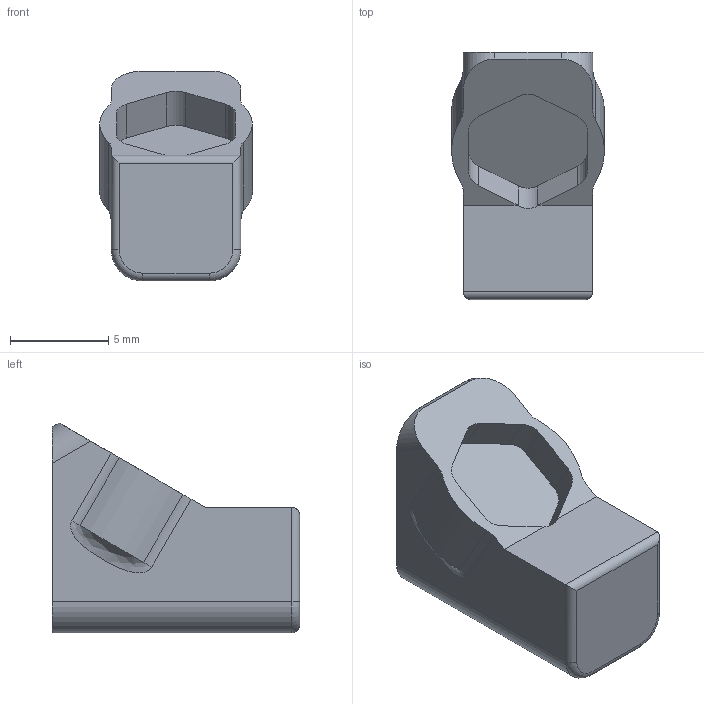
import cadquery as cq
import math

body_width = 6.6
body_length = 12.6
step_length = 4.8
step_height = 6.4
slope_angle = math.radians(30)
corner_radius = 1.6
peak_chamfer = 0.4
front_fillet = 0.4

boss_radius = 3.9
boss_depth = 4.0
boss_distance = 3.2
blend_radius = 1.0

foot_spans = 16
end_margin = 3
arc_fractions = (0.25, 0.5, 0.75)

socket_flats = 6.05
socket_depth = 2.0
socket_corner_radius = 1.0
socket_clearance = 1.0

half_width = body_width / 2
slope_rise = (body_length - step_length) * math.tan(slope_angle)
peak_height = step_height + slope_rise

ball_u = half_width + blend_radius
ball_reach = boss_radius + blend_radius
blend_end_v = math.sqrt(ball_reach**2 - ball_u**2)
touch_ratio = boss_radius / ball_reach
touch_u = ball_u * touch_ratio
touch_v = blend_end_v * touch_ratio

boss_plane = cq.Plane(
    origin=(
        0,
        step_length + boss_distance * math.cos(slope_angle),
        step_height + boss_distance * math.sin(slope_angle),
    ),
    xDir=(1, 0, 0),
    normal=(0, -math.sin(slope_angle), math.cos(slope_angle)),
)


def make_body():
    body = (
        cq.Workplane("YZ")
        .moveTo(0, 0)
        .lineTo(body_length, 0)
        .lineTo(body_length, peak_height)
        .lineTo(step_length, step_height)
        .lineTo(0, step_height)
        .close()
        .extrude(half_width, both=True)
    )
    body = body.edges(">Z").chamfer(peak_chamfer)
    body = body.edges("|Y and <Z").fillet(corner_radius)
    chamfer_direction = cq.Vector(0, math.cos(slope_angle), -math.sin(slope_angle))
    peak_corners = cq.selectors.ParallelDirSelector(chamfer_direction)
    body = body.edges(peak_corners).fillet(corner_radius)
    return body.faces("<Y").edges().fillet(front_fillet)


def blend_middle():
    """Middle point (u, v) of the arc that joins the body side to the boss."""
    to_boss = math.atan2(blend_end_v, ball_u)
    middle_angle = to_boss / 2
    return (
        ball_u - blend_radius * math.cos(middle_angle),
        blend_end_v - blend_radius * math.sin(middle_angle),
    )


def make_boss_wing():
    """Part of the boss on the +X side, with its arcs running out into the body side."""
    middle_u, middle_v = blend_middle()
    return (
        cq.Workplane(boss_plane)
        .moveTo(0, -blend_end_v)
        .lineTo(half_width, -blend_end_v)
        .threePointArc((middle_u, -middle_v), (touch_u, -touch_v))
        .threePointArc((boss_radius, 0), (touch_u, touch_v))
        .threePointArc((middle_u, middle_v), (half_width, blend_end_v))
        .lineTo(0, blend_end_v)
        .close()
        .extrude(-boss_depth)
    )


def ball_gap(v):
    """Distance from the ball centre to the boss wall, in the plane of the rim."""
    return math.hypot(ball_u, v) - boss_radius


def ball_drop(v):
    """Depth of the ball centre below the boss rim when the ball rests on the rim."""
    return math.sqrt(max(0, blend_radius**2 - ball_gap(v) ** 2))


def skirt_point(v, fraction):
    """Point on the ball, the given fraction of the way from the body side to the boss rim."""
    centre_w = -boss_depth - ball_drop(v)
    toward_axis = math.atan2(v, ball_u)
    full_turn = math.acos(ball_gap(v) * math.cos(toward_axis) / blend_radius)
    turn = full_turn * fraction
    rim_v = -ball_gap(v) * math.sin(toward_axis)
    rim_w = ball_drop(v)
    side_length = math.hypot(rim_v, rim_w)
    sideways = blend_radius * math.sin(turn) / side_length
    return cq.Vector(
        ball_u - blend_radius * math.cos(turn),
        v + sideways * rim_v,
        centre_w + sideways * rim_w,
    )


def make_skirt():
    """Concave blend under the boss rim on the +X side."""
    middle_u, middle_v = blend_middle()
    rim_w = -boss_depth
    lower_end = cq.Vector(half_width, -blend_end_v, rim_w)
    upper_end = cq.Vector(half_width, blend_end_v, rim_w)
    lower_touch = cq.Vector(touch_u, -touch_v, rim_w)
    upper_touch = cq.Vector(touch_u, touch_v, rim_w)
    rim = [
        cq.Edge.makeThreePointArc(lower_end, cq.Vector(middle_u, -middle_v, rim_w), lower_touch),
        cq.Edge.makeThreePointArc(lower_touch, cq.Vector(boss_radius, 0, rim_w), upper_touch),
        cq.Edge.makeThreePointArc(upper_touch, cq.Vector(middle_u, middle_v, rim_w), upper_end),
    ]
    station_angles = [math.pi * i / foot_spans for i in range(foot_spans + 1)]
    stations = [-blend_end_v * math.cos(angle) for angle in station_angles]
    foot_points = [cq.Vector(half_width, v, rim_w - ball_drop(v)) for v in stations]
    foot = cq.Edge.makeSpline(foot_points)
    top_line = cq.Edge.makeLine(lower_end, upper_end)

    inner_stations = stations[end_margin:-end_margin:2]
    inner_points = [skirt_point(v, fraction) for v in inner_stations for fraction in arc_fractions]
    concave = cq.Face.makeNSidedSurface(rim + [foot], inner_points)
    top = cq.Face.makeFromWires(cq.Wire.assembleEdges(rim + [top_line]))
    side = cq.Face.makeFromWires(cq.Wire.assembleEdges([foot, top_line]))
    skirt = cq.Solid.makeSolid(cq.Shell.makeShell([concave, top, side]))
    return cq.Workplane(skirt.moved(cq.Location(boss_plane)))


def make_socket():
    """Rounded hexagon, carried above the slope so its lowest corner also clears the step."""
    corner_diameter = socket_flats / math.cos(math.pi / 6)
    socket = (
        cq.Workplane("XY", origin=(0, 0, -socket_depth))
        .transformed(rotate=(0, 0, 90))
        .polygon(6, corner_diameter)
        .extrude(socket_depth + socket_clearance)
        .edges("|Z")
        .fillet(socket_corner_radius)
    )
    return cq.Workplane(socket.val().moved(cq.Location(boss_plane)))


wing = make_boss_wing().union(make_skirt())
result = make_body().union(wing).union(wing.mirror("YZ")).cut(make_socket())